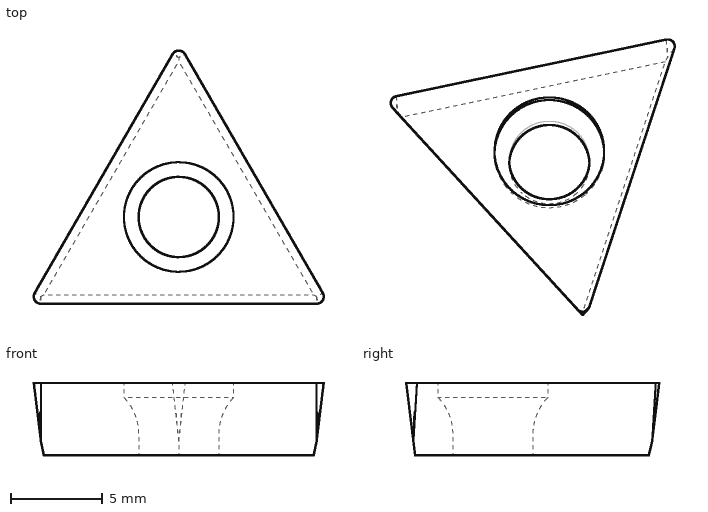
import cadquery as cq
import math

width = 15.91
thickness = 3.98
nose_radius = 0.4
clearance_angle = 7.0

bore_radius = 2.2
mouth_radius = 3.0
mouth_depth = 0.8
seat_bottom_depth = 2.82

nose_spacing = width - 2 * nose_radius
nose_distance = nose_spacing / math.sqrt(3)
inscribed_radius = nose_distance / 2 + nose_radius
sharp_distance = 2 * inscribed_radius

nose_height = nose_radius / math.tan(math.radians(clearance_angle))
corner_angles = (90, 210, 330)


def polar(distance, angle, z):
    """Point at a given distance and direction from the Z axis."""
    direction = math.radians(angle)
    return cq.Vector(distance * math.cos(direction), distance * math.sin(direction), z)


def tetrahedron(a, b, c, d):
    triangles = [(a, b, c), (a, b, d), (b, c, d), (a, c, d)]
    faces = [cq.Face.makeFromWires(cq.Wire.makePolygon(list(t), close=True)) for t in triangles]
    return cq.Solid.makeSolid(cq.Shell.makeShell(faces))


def sharp_body():
    """Triangle with sharp corners, its walls leaning inward toward the bottom."""
    corners = [polar(sharp_distance, angle, thickness).toTuple()[:2] for angle in corner_angles]
    return (
        cq.Workplane("XY", origin=(0, 0, thickness))
        .polyline(corners)
        .close()
        .extrude(-thickness, taper=clearance_angle)
    )


def nose_waste(angle):
    """Corner material outside the conical nose."""
    centre = polar(nose_distance, angle, thickness)
    tip = centre - cq.Vector(0, 0, nose_height)
    tangents = [centre + polar(nose_radius, angle + side, 0) for side in (-60, 60)]
    corner = tetrahedron(polar(sharp_distance, angle, thickness), *tangents, tip)
    cone = cq.Solid.makeCone(0, nose_radius, nose_height, pnt=tip, dir=cq.Vector(0, 0, 1))
    return corner.cut(cone)


def screw_hole():
    """Straight mouth, then a rounded screw seat that runs smoothly into the bore."""
    seat_top = thickness - mouth_depth
    seat_bottom = thickness - seat_bottom_depth
    seat_width = mouth_radius - bore_radius
    seat_height = seat_top - seat_bottom
    seat_radius = (seat_width**2 + seat_height**2) / (2 * seat_width)
    half_sweep = math.asin(seat_height / seat_radius) / 2
    seat_middle = (
        bore_radius + seat_radius * (1 - math.cos(half_sweep)),
        seat_bottom + seat_radius * math.sin(half_sweep),
    )
    return (
        cq.Workplane("XZ")
        .lineTo(bore_radius, 0)
        .lineTo(bore_radius, seat_bottom)
        .threePointArc(seat_middle, (mouth_radius, seat_top))
        .lineTo(mouth_radius, thickness)
        .lineTo(0, thickness)
        .close()
        .revolve(360, (0, 0), (0, 1))
    )


result = sharp_body()
for corner_angle in corner_angles:
    result = result.cut(cq.Workplane(nose_waste(corner_angle)))
result = result.cut(screw_hole())